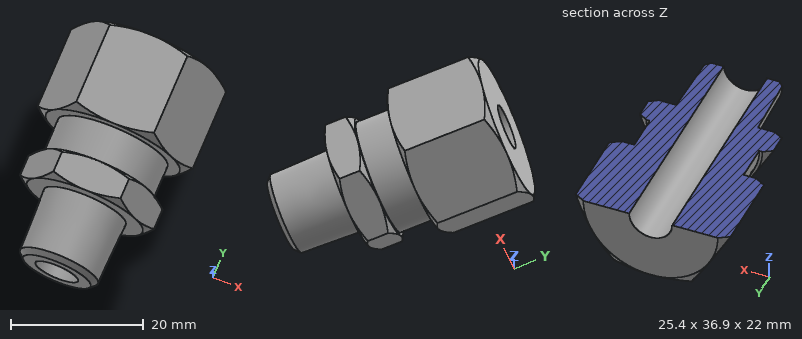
import cadquery as cq
import math


gauge_length = 6.0
thread_length = 11.0
body_hex_length = 5.0
collar_length = 5.9
nut_length = 15.0

bore_diameter = 7.0
gauge_diameter = 13.157
thread_taper = 1 / 16
tip_chamfer = 0.85
body_hex_across_flats = 19.0
collar_diameter = 18.0
nut_across_flats = 22.0
hex_sides = 6
hex_chamfer_angle = 30.0

body_hex_start = thread_length
collar_start = body_hex_start + body_hex_length
nut_start = collar_start + collar_length
total_length = nut_start + nut_length


def thread_radius(y):
    """Radius of the tapered thread at distance y from the tip."""
    return (gauge_diameter + (y - gauge_length) * thread_taper) / 2


def revolve_about_y(points):
    """Revolve an outline of (radius, y) points about the Y axis."""
    return cq.Workplane("XY").polyline(points).close().revolve(360, (0, 0, 0), (0, 1, 0))


def cross_section(y):
    """Workplane across the axis at distance y from the tip, facing +Y."""
    return cq.Workplane(cq.Plane(origin=(0, y, 0), xDir=(1, 0, 0), normal=(0, 1, 0)))


def cylinder(diameter, start, length):
    """Cylinder along Y from start to start + length."""
    return cross_section(start).circle(diameter / 2).extrude(length)


def chamfered_hex(across_flats, start, length):
    """Hexagonal prism along Y, corners on the X axis, both ends coned off."""
    flat_radius = across_flats / 2
    corner_radius = flat_radius / math.cos(math.pi / hex_sides)
    cone_depth = (corner_radius - flat_radius) * math.tan(math.radians(hex_chamfer_angle))
    end = start + length
    prism = cross_section(start).polygon(hex_sides, 2 * corner_radius).extrude(length)
    envelope = revolve_about_y([
        (0, start),
        (flat_radius, start),
        (corner_radius, start + cone_depth),
        (corner_radius, end - cone_depth),
        (flat_radius, end),
        (0, end),
    ])
    return prism.intersect(envelope)


def tapered_thread():
    """Plain tapered male end with a chamfered tip."""
    chamfer_radius = thread_radius(tip_chamfer)
    return revolve_about_y([
        (0, 0),
        (chamfer_radius - tip_chamfer, 0),
        (chamfer_radius, tip_chamfer),
        (thread_radius(thread_length), thread_length),
        (0, thread_length),
    ])


thread = tapered_thread()
body_hex = chamfered_hex(body_hex_across_flats, body_hex_start, body_hex_length)
collar = cylinder(collar_diameter, collar_start, collar_length)
nut = chamfered_hex(nut_across_flats, nut_start, nut_length)
bore = cylinder(bore_diameter, 0, total_length)

result = thread.union(body_hex).union(collar).union(nut).cut(bore)